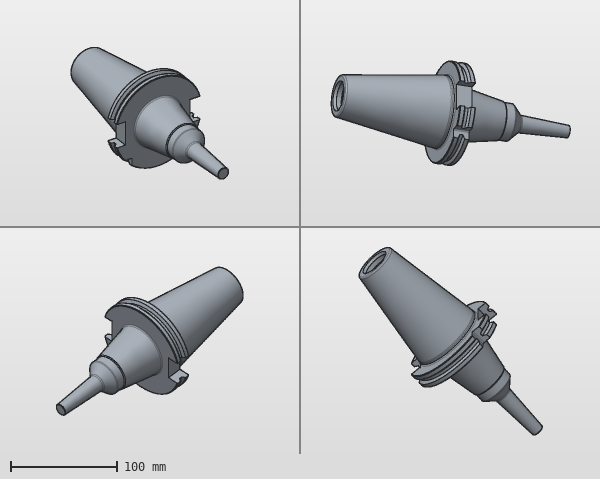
import cadquery as cq

total_length = 231.5
taper_end = 101.2
flange_start = 104.7
flange_width = 15.7
flange_end = flange_start + flange_width
cone_end = 162.1
band_start = 163.0
band_end = 172.0

taper_small_radius = 20.1
gauge_diameter = 69.7
gauge_radius = gauge_diameter / 2
flange_diameter = 97.5
flange_radius = flange_diameter / 2
cone_large_radius = 26.9
cone_small_radius = 19.0
band_radius = 18.0
nose_large_radius = 8.5
nose_tip_radius = 6.0

nose_start = band_end + band_radius - nose_large_radius

taper_small_end_fillet = 1.6
taper_large_end_fillet = 10.5
flange_chamfer = 0.7
flange_root_fillet = 1.2
shoulder_fillet = 1.2
nose_root_fillet = 2.3
tip_chamfer = 0.5

groove_center = 112.5
groove_floor_radius = 45.6
groove_floor_width = 3.0
groove_rim_width = 6.5

slot_width = 25.7
slot_floor_front = 37.5
slot_floor_back = 35.5
notch_offset = 29.9
notch_fillet = 1.2

mouth_radius = 14.4
mouth_depth = 3.0
recess_radius = 13.2
recess_depth = 7.9
pilot_radius = 12.5
pilot_start = recess_depth + recess_radius - pilot_radius
pilot_depth = 11.0
thread_mouth_radius = 11.8
thread_radius = 10.0
thread_start = pilot_depth + thread_mouth_radius - thread_radius
thread_depth = 41.7
drill_point_length = 6.0


def revolve_about_x(points):
    """Revolve a closed (x, radius) outline about the X axis."""
    outline = cq.Workplane("XY").polyline(points).close()
    return outline.revolve(360, (0, 0, 0), (1, 0, 0))


def edge_near(x, radius):
    """Selector for the circular edge at the given position along X and radius."""
    tolerance = 0.2
    corner_low = (x - tolerance, -radius - tolerance, -radius - tolerance)
    corner_high = (x + tolerance, radius + tolerance, radius + tolerance)
    return cq.selectors.BoxSelector(corner_low, corner_high, boundingbox=True)


def make_body():
    """Taper, flange blank and nose as one turned piece, without its groove and cut-outs."""
    body = revolve_about_x([
        (0, 0),
        (0, taper_small_radius),
        (taper_end, gauge_radius),
        (flange_start, gauge_radius),
        (flange_start, flange_radius),
        (flange_end, flange_radius),
        (flange_end, cone_large_radius),
        (cone_end, cone_small_radius),
        (band_start, band_radius),
        (band_end, band_radius),
        (nose_start, nose_large_radius),
        (total_length, nose_tip_radius),
        (total_length, 0),
    ])
    fillets = [
        (0, taper_small_radius, taper_small_end_fillet),
        (taper_end, gauge_radius, taper_large_end_fillet),
        (flange_start, gauge_radius, flange_root_fillet),
        (flange_end, cone_large_radius, flange_root_fillet),
        (band_end, band_radius, shoulder_fillet),
        (nose_start, nose_large_radius, nose_root_fillet),
    ]
    for x, radius, fillet_radius in fillets:
        body = body.edges(edge_near(x, radius)).fillet(fillet_radius)
    for x in (flange_start, flange_end):
        rim = body.edges(edge_near(x, flange_radius)).edges(cq.selectors.RadiusNthSelector(-1))
        body = rim.chamfer(flange_chamfer)
    return body.faces(">X").edges().chamfer(tip_chamfer)


def make_groove():
    return revolve_about_x([
        (groove_center - groove_floor_width / 2, groove_floor_radius),
        (groove_center + groove_floor_width / 2, groove_floor_radius),
        (groove_center + groove_rim_width / 2, flange_radius),
        (groove_center - groove_rim_width / 2, flange_radius),
    ])


def flange_cutter(y_start, y_end, z_start, z_end):
    """Box across the flange and its taper-side fillet, between the given Y and Z limits."""
    x_start = flange_start - flange_root_fillet
    length = flange_end - x_start
    box = cq.Workplane("XY").box(length, y_end - y_start, z_end - z_start, centered=False)
    return box.translate((x_start, y_start, z_start))


def make_drive_slots():
    half_width = slot_width / 2
    front = flange_cutter(-flange_radius, -slot_floor_front, -half_width, half_width)
    back = flange_cutter(slot_floor_back, flange_radius, -half_width, half_width)
    return front.union(back)


def make_notch():
    notch = flange_cutter(-flange_radius, -notch_offset, -flange_radius, -notch_offset)
    return notch.edges("|X and >Y and >Z").fillet(notch_fillet)


def make_bore():
    return revolve_about_x([
        (0, 0),
        (0, mouth_radius),
        (mouth_depth, recess_radius),
        (recess_depth, recess_radius),
        (pilot_start, pilot_radius),
        (pilot_depth, pilot_radius),
        (pilot_depth, thread_mouth_radius),
        (thread_start, thread_radius),
        (thread_depth, thread_radius),
        (thread_depth + drill_point_length, 0),
    ])


result = make_body()
for cutter in (make_groove(), make_drive_slots(), make_notch(), make_bore()):
    result = result.cut(cutter)